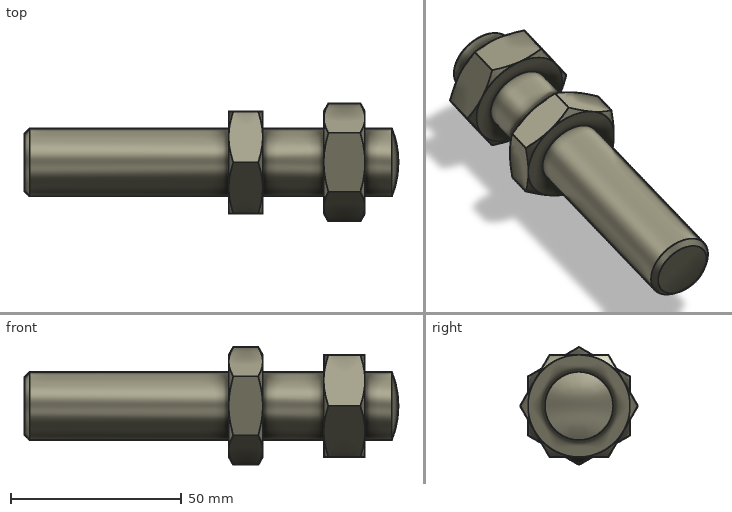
import cadquery as cq
import math

total_length = 109.9
rod_diameter = 20.0
rod_radius = rod_diameter / 2
end_chamfer = 1.5
dome_height = 2.0

across_flats = 30.0
across_corners = across_flats / math.cos(math.radians(30))
nut_chamfer_angle = 30.0
first_nut_start = 60.0
first_nut_width = 10.0
second_nut_start = 87.9
second_nut_width = 12.1


def make_rod():
    """Rod with a chamfered start and a spherical dome at its far end."""
    dome_start = total_length - dome_height
    dome_radius = (rod_radius**2 + dome_height**2) / (2 * dome_height)
    arc_middle_radius = rod_radius / 2
    arc_middle_x = total_length - dome_radius + math.sqrt(dome_radius**2 - arc_middle_radius**2)
    return (
        cq.Workplane("XY")
        .lineTo(0, rod_radius - end_chamfer)
        .lineTo(end_chamfer, rod_radius)
        .lineTo(dome_start, rod_radius)
        .threePointArc((arc_middle_x, arc_middle_radius), (total_length, 0))
        .close()
        .revolve(360, (0, 0, 0), (1, 0, 0))
    )


def make_nut(start, width, turn):
    """Hexagonal nut with conically chamfered corners; turn 0 puts corners along Y."""
    face_radius = across_flats / 2
    corner_radius = across_corners / 2
    corner_drop = (corner_radius - face_radius) * math.tan(math.radians(nut_chamfer_angle))
    hexagon = (
        cq.Workplane("YZ")
        .workplane(offset=start)
        .polygon(6, across_corners)
        .extrude(width)
        .rotate((0, 0, 0), (1, 0, 0), turn)
    )
    chamfer_envelope = (
        cq.Workplane("XY")
        .moveTo(start, 0)
        .lineTo(start, face_radius)
        .lineTo(start + corner_drop, corner_radius)
        .lineTo(start + width - corner_drop, corner_radius)
        .lineTo(start + width, face_radius)
        .lineTo(start + width, 0)
        .close()
        .revolve(360, (0, 0, 0), (1, 0, 0))
    )
    return hexagon.intersect(chamfer_envelope)


first_nut = make_nut(first_nut_start, first_nut_width, turn=30)
second_nut = make_nut(second_nut_start, second_nut_width, turn=0)
result = make_rod().union(first_nut).union(second_nut)